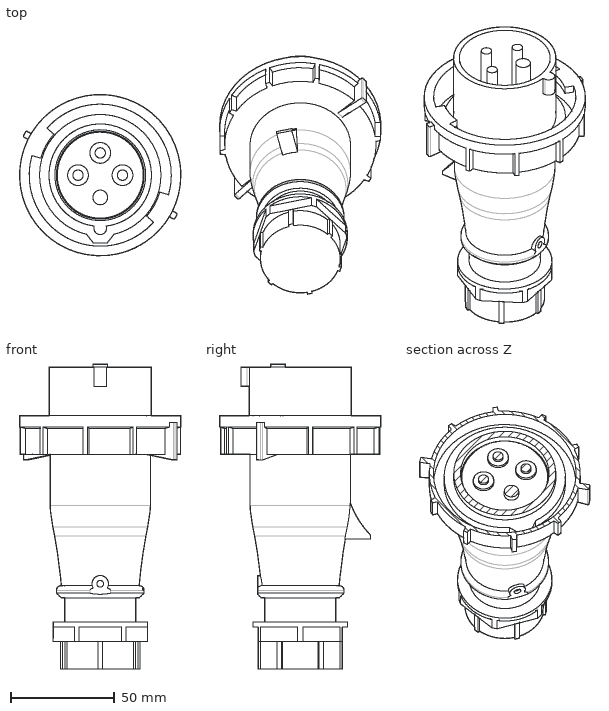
import cadquery as cq
import math

TOTAL_HEIGHT = 147.4
CLEARANCE = 1.5

NECK_RADIUS = 17.2
NECK_TOP = 34.5
NUT_RADIUS = 22.8
NUT_FLANGE_TOP = 22.8
NUT_FLANGE_BOTTOM = 20.3
HEX_BOTTOM = 13.3
HEX_ACROSS_FLATS = 40.8
GRIP_RADIUS = 19.3
GRIP_RIB_RADIUS = 20.3
GRIP_RIB_WIDTH = 2.4
GRIP_RIB_COUNT = 6
GRIP_RIB_START_ANGLE = 30.0

BODY_RADIUS = 24.3
CYLINDER_BOTTOM = 79.0
SHOULDER_RADIUS = 23.0
SHOULDER_MID_RADIUS = 23.9
SHOULDER_BOTTOM = 68.7
WAIST_RADIUS = 22.1
WAIST_BOTTOM = 64.3
TAPER_MID_RADIUS = 20.2
TAPER_MID_HEIGHT = 52.3

BEAD_TOP = 40.4
BEAD_RADIUS = 21.2
BEAD_ROOT_RADIUS = 18.9
BEAD_ROUND = BEAD_RADIUS - BEAD_ROOT_RADIUS
BEAD_BOTTOM = 36.7

EYE_FACE = 20.6
EYE_RADIUS = 4.0
EYE_HEIGHT = 41.3
EYE_HOLE_RADIUS = 1.6
EYE_HOLE_DEPTH = 1.5
EYE_ROOT = 16.2

FIN_THICKNESS = 7.5
FIN_TOP = 80.0
FIN_TIP_RADIUS = 34.0
FIN_TIP_TOP = 64.7
FIN_BOTTOM = 62.8
FIN_MID_RADIUS = 28.7
FIN_MID_HEIGHT = 71.3
FIN_ROOT = 14.7

FLANGE_RADIUS = 29.3
FLANGE_TOP = 110.5
FLANGE_KEY_REACH = 32.7
FLANGE_KEY_TIP_WIDTH = 6.8
FLANGE_KEY_ROOT_WIDTH = 13.3
FLANGE_KEY_ROOT = 28.6

SLEEVE_RADIUS = 24.8
SLEEVE_TOP = 145.9
BORE_TOP_RADIUS = 22.0
BORE_FLOOR_RADIUS = 21.2
BORE_FLOOR = FLANGE_TOP
INSERT_RADIUS = 20.8
INSERT_HEIGHT = 0.7
SLEEVE_KEY_WIDTH = 6.0
SLEEVE_KEY_REACH = 28.7
SLEEVE_KEY_BOTTOM = 136.6

PIN_CIRCLE_RADIUS = 10.8
PIN_RADIUS = 2.5
PIN_TOP = 145.5
PIN_ANGLES = (0.0, 90.0, 180.0)
PIN_COLLAR_RADIUS = 5.0
PIN_COLLAR_HEIGHT = 1.5
EARTH_PIN_RADIUS = 3.5
EARTH_PIN_ANGLE = 270.0

RING_DIAMETER = 78.0
RING_RADIUS = RING_DIAMETER / 2
RING_TOP = 122.5
RING_BOTTOM = 103.8
RIM_BOTTOM = 117.0
RECESS_RADIUS = 36.5
RECESS_TOP = 116.3
RING_BORE_RADIUS = 34.3
RING_FLOOR = 105.4
RING_WALL_RADIUS = (RING_BORE_RADIUS + RECESS_RADIUS) / 2
RING_RIB_COUNT = 10
RING_RIB_TIP_WIDTH = 2.0
RING_RIB_ROOT_WIDTH = 3.0
LUG_ANGLE = 151.3
LUG_WIDTH = 3.2
LUG_REACH = 41.7
LUG_CORNER_ROUND = 0.6
LUG_SLOPE_START = 40.7
LUG_TOP = 119.2
LUG_BOTTOM = 101.1
CATCH_INNER_RADIUS = 29.9
CATCH_THICKNESS = 3.7
CATCH_SPAN_ANGLE = 25.5


def cylinder(radius, bottom, top):
    return cq.Workplane("XY").workplane(offset=bottom).circle(radius).extrude(top - bottom)


def turned(angle, shape):
    return shape.rotate((0, 0, 0), (0, 0, 1), angle)


def radial_bar(inner_radius, outer_radius, inner_width, outer_width, bottom, top):
    """Bar pointing along +X whose width changes evenly from root to tip."""
    outline = [
        (inner_radius, -inner_width / 2),
        (outer_radius, -outer_width / 2),
        (outer_radius, outer_width / 2),
        (inner_radius, inner_width / 2),
    ]
    return cq.Workplane("XY").workplane(offset=bottom).polyline(outline).close().extrude(top - bottom)


def make_gland_nut():
    nut = cylinder(NECK_RADIUS, NUT_FLANGE_BOTTOM, NECK_TOP)
    nut = nut.union(cylinder(NUT_RADIUS, NUT_FLANGE_BOTTOM, NUT_FLANGE_TOP))

    hex_corner_diameter = HEX_ACROSS_FLATS / math.cos(math.pi / 6)
    hexagon = (
        cq.Workplane("XY")
        .workplane(offset=HEX_BOTTOM)
        .polygon(6, hex_corner_diameter)
        .extrude(NUT_FLANGE_BOTTOM - HEX_BOTTOM)
    )
    nut = nut.union(hexagon.intersect(cylinder(NUT_RADIUS, HEX_BOTTOM, NUT_FLANGE_BOTTOM)))

    nut = nut.union(cylinder(GRIP_RADIUS, 0, HEX_BOTTOM))
    rib = radial_bar(0, GRIP_RIB_RADIUS, GRIP_RIB_WIDTH, GRIP_RIB_WIDTH, 0, HEX_BOTTOM)
    for index in range(GRIP_RIB_COUNT):
        nut = nut.union(turned(GRIP_RIB_START_ANGLE + index * 360 / GRIP_RIB_COUNT, rib))
    return nut


def make_shell():
    """Solid of revolution from the bead up to the rim of the contact sleeve."""
    bead_arc_mid = (
        BEAD_ROOT_RADIUS + BEAD_ROUND * math.sin(math.pi / 4),
        BEAD_TOP - BEAD_ROUND * (1 - math.cos(math.pi / 4)),
    )
    shoulder_mid = (SHOULDER_MID_RADIUS, (CYLINDER_BOTTOM + SHOULDER_BOTTOM) / 2)
    return (
        cq.Workplane("XZ")
        .moveTo(0, NECK_TOP)
        .lineTo(BEAD_ROOT_RADIUS, NECK_TOP)
        .lineTo(BEAD_RADIUS, BEAD_BOTTOM)
        .lineTo(BEAD_RADIUS, BEAD_TOP - BEAD_ROUND)
        .threePointArc(bead_arc_mid, (BEAD_ROOT_RADIUS, BEAD_TOP))
        .threePointArc((TAPER_MID_RADIUS, TAPER_MID_HEIGHT), (WAIST_RADIUS, WAIST_BOTTOM))
        .lineTo(SHOULDER_RADIUS, SHOULDER_BOTTOM)
        .threePointArc(shoulder_mid, (BODY_RADIUS, CYLINDER_BOTTOM))
        .lineTo(BODY_RADIUS, RING_FLOOR)
        .lineTo(FLANGE_RADIUS, RING_FLOOR)
        .lineTo(FLANGE_RADIUS, FLANGE_TOP)
        .lineTo(SLEEVE_RADIUS, FLANGE_TOP)
        .lineTo(SLEEVE_RADIUS, SLEEVE_TOP)
        .lineTo(BORE_TOP_RADIUS, SLEEVE_TOP)
        .lineTo(BORE_FLOOR_RADIUS, BORE_FLOOR)
        .lineTo(INSERT_RADIUS, BORE_FLOOR)
        .lineTo(INSERT_RADIUS, BORE_FLOOR + INSERT_HEIGHT)
        .lineTo(0, BORE_FLOOR + INSERT_HEIGHT)
        .close()
        .revolve(360, (0, 0, 0), (0, 1, 0))
    )


def make_eye():
    return (
        cq.Workplane("XZ")
        .workplane(offset=EYE_ROOT)
        .center(0, EYE_HEIGHT)
        .circle(EYE_RADIUS)
        .extrude(EYE_FACE - EYE_ROOT)
    )


def make_eye_hole():
    return (
        cq.Workplane("XZ")
        .workplane(offset=EYE_FACE - EYE_HOLE_DEPTH)
        .center(0, EYE_HEIGHT)
        .circle(EYE_HOLE_RADIUS)
        .extrude(EYE_HOLE_DEPTH)
    )


def make_bead_flat():
    """Block that planes the front of the bead flush with the face of the eye."""
    depth = BEAD_RADIUS - EYE_FACE
    return (
        cq.Workplane("XY")
        .workplane(offset=NECK_TOP)
        .center(0, -EYE_FACE - depth / 2)
        .rect(2 * BEAD_RADIUS, depth)
        .extrude(BEAD_TOP - NECK_TOP)
    )


def make_fin():
    return (
        cq.Workplane("YZ")
        .workplane(offset=-FIN_THICKNESS / 2)
        .moveTo(FIN_ROOT, FIN_BOTTOM)
        .lineTo(FIN_TIP_RADIUS, FIN_BOTTOM)
        .lineTo(FIN_TIP_RADIUS, FIN_TIP_TOP)
        .threePointArc((FIN_MID_RADIUS, FIN_MID_HEIGHT), (BODY_RADIUS, FIN_TOP))
        .lineTo(FIN_ROOT, FIN_TOP)
        .close()
        .extrude(FIN_THICKNESS)
    )


def make_flange_key():
    key = radial_bar(
        FLANGE_KEY_ROOT, FLANGE_KEY_REACH, FLANGE_KEY_ROOT_WIDTH, FLANGE_KEY_TIP_WIDTH, RING_FLOOR, FLANGE_TOP
    )
    return turned(-90, key)


def make_sleeve_key():
    round_radius = SLEEVE_KEY_WIDTH / 2
    root = (BORE_TOP_RADIUS + SLEEVE_RADIUS) / 2
    round_center = SLEEVE_KEY_REACH - round_radius
    bar = radial_bar(root, round_center, SLEEVE_KEY_WIDTH, SLEEVE_KEY_WIDTH, SLEEVE_KEY_BOTTOM, SLEEVE_TOP)
    nose = cylinder(round_radius, SLEEVE_KEY_BOTTOM, SLEEVE_TOP).translate((round_center, 0, 0))
    return turned(-90, bar.union(nose))


def make_pin(radius, top, angle):
    pin = cylinder(radius, BORE_FLOOR, top).translate((PIN_CIRCLE_RADIUS, 0, 0))
    return turned(angle, pin)


def make_housing():
    housing = make_shell()
    housing = housing.cut(make_bead_flat())
    housing = housing.union(make_eye())
    housing = housing.cut(make_eye_hole())
    housing = housing.union(make_fin())
    housing = housing.union(make_flange_key())
    housing = housing.union(make_sleeve_key())
    collar_top = BORE_FLOOR + INSERT_HEIGHT + PIN_COLLAR_HEIGHT
    for angle in PIN_ANGLES:
        housing = housing.union(make_pin(PIN_COLLAR_RADIUS, collar_top, angle))
        housing = housing.union(make_pin(PIN_RADIUS, PIN_TOP, angle))
    return housing.union(make_pin(EARTH_PIN_RADIUS, TOTAL_HEIGHT, EARTH_PIN_ANGLE))


def make_recess_band():
    """Band removed from the outside below the rim, interrupted where the ribs stay."""
    clear_radius = RING_RADIUS + CLEARANCE
    slope = (RIM_BOTTOM - RECESS_TOP) / (RING_RADIUS - RECESS_RADIUS)
    clear_top = RECESS_TOP + slope * (clear_radius - RECESS_RADIUS)
    clear_bottom = RING_BOTTOM - CLEARANCE
    band = (
        cq.Workplane("XZ")
        .moveTo(RECESS_RADIUS, clear_bottom)
        .lineTo(clear_radius, clear_bottom)
        .lineTo(clear_radius, clear_top)
        .lineTo(RECESS_RADIUS, RECESS_TOP)
        .close()
        .revolve(360, (0, 0, 0), (0, 1, 0))
    )
    flare = (RING_RIB_ROOT_WIDTH - RING_RIB_TIP_WIDTH) / (RING_RADIUS - RECESS_RADIUS)
    inner_radius = RECESS_RADIUS - CLEARANCE
    outer_radius = clear_radius + CLEARANCE
    inner_width = RING_RIB_ROOT_WIDTH + flare * (RECESS_RADIUS - inner_radius)
    outer_width = RING_RIB_TIP_WIDTH - flare * (outer_radius - RING_RADIUS)
    rib = radial_bar(inner_radius, outer_radius, inner_width, outer_width, clear_bottom - CLEARANCE, RING_TOP)
    for index in range(RING_RIB_COUNT):
        band = band.cut(turned(LUG_ANGLE + index * 360 / RING_RIB_COUNT, rib))
    return band


def make_ring_shell():
    shell = cylinder(RING_RADIUS, RING_BOTTOM, RING_TOP).cut(make_recess_band())
    shell = shell.cut(cylinder(RING_BORE_RADIUS, RING_FLOOR, RING_TOP))
    return shell.cut(cylinder(BODY_RADIUS, RING_BOTTOM, RING_FLOOR))


def make_lug():
    """Upright bar with rounded outer corners, whose foot slopes up under the ring towards the housing."""
    foot_radius = BODY_RADIUS + LUG_WIDTH / 2
    lug = (
        cq.Workplane("XZ")
        .workplane(offset=-LUG_WIDTH / 2)
        .moveTo(RING_WALL_RADIUS, LUG_TOP)
        .lineTo(LUG_REACH, LUG_TOP)
        .lineTo(LUG_REACH, LUG_BOTTOM)
        .lineTo(LUG_SLOPE_START, LUG_BOTTOM)
        .lineTo(foot_radius, RING_BOTTOM)
        .lineTo(foot_radius, RING_FLOOR)
        .lineTo(RING_WALL_RADIUS, RING_FLOOR)
        .close()
        .extrude(LUG_WIDTH)
    )
    return lug.edges("|Z and >X").fillet(LUG_CORNER_ROUND)


def make_catch():
    """Inward bayonet catch: a ring sector flush with the top face, centred on +X."""
    bottom = RING_TOP - CATCH_THICKNESS
    outer_radius = RING_WALL_RADIUS
    half_angle = math.radians(CATCH_SPAN_ANGLE / 2)
    cosine = math.cos(half_angle)
    sine = math.sin(half_angle)
    return (
        cq.Workplane("XY")
        .workplane(offset=bottom)
        .moveTo(CATCH_INNER_RADIUS * cosine, -CATCH_INNER_RADIUS * sine)
        .lineTo(outer_radius * cosine, -outer_radius * sine)
        .threePointArc((outer_radius, 0), (outer_radius * cosine, outer_radius * sine))
        .lineTo(CATCH_INNER_RADIUS * cosine, CATCH_INNER_RADIUS * sine)
        .threePointArc((CATCH_INNER_RADIUS, 0), (CATCH_INNER_RADIUS * cosine, -CATCH_INNER_RADIUS * sine))
        .close()
        .extrude(CATCH_THICKNESS)
    )


def make_bayonet_ring():
    ring = make_ring_shell()
    lug = make_lug()
    catch = make_catch()
    for angle in (LUG_ANGLE, LUG_ANGLE + 180):
        ring = ring.union(turned(angle, lug))
        ring = ring.union(turned(angle, catch))
    return ring


gland_nut = make_gland_nut().solids()
housing = make_housing().solids()
bayonet_ring = make_bayonet_ring().solids()

result = cq.Compound.makeCompound([housing.val(), bayonet_ring.val(), gland_nut.val()])